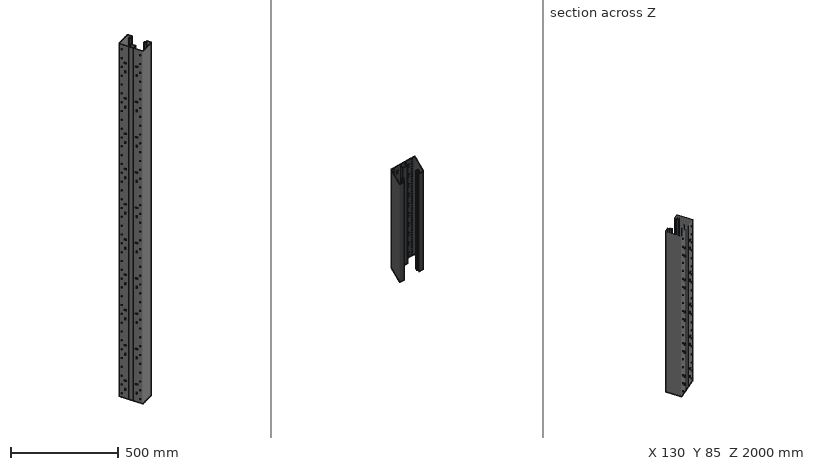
import cadquery as cq

width = 130.0
length = 2000.0
sheet = 2.5
clear_depth = 80.0
depth = clear_depth + 2 * sheet
bend_radius = 2.8
flange_reach = 25.0

lip_step_depth = 12.0
lip_step_width = 5.0
hook_width = 15.0
hook_depth = 10.0

rib_width = 28.0
rib_height = 22.0

hole_count = 40
hole_pitch = 50.0
hole_diameter = 5.0
hole_inset = 15.0
hole_start = 28.0

slot_count = 10
slot_pitch = 200.0
slot_offset = 30.0
slot_width = 5.0
cross_slot_length = 13.0
cross_slot_start = 100.0
long_slot_length = 12.0
long_slot_start = 150.0

half_width = width / 2
front = -depth / 2
back = depth / 2
web_inside = front + sheet
top = length / 2
mouth_half = half_width - flange_reach


def bar(x_min, x_max, y_min, y_max):
    """Full-length rectangular bar."""
    center = ((x_min + x_max) / 2, (y_min + y_max) / 2, -top)
    return cq.Workplane("XY", origin=center).rect(x_max - x_min, y_max - y_min).extrude(length)


def make_channel():
    """Bent sheet with a web, two sides and two flanges around the mouth."""
    outside = bar(-half_width, half_width, front, back).edges("|Z").fillet(bend_radius)
    inside = bar(-half_width + sheet, half_width - sheet, web_inside, back - sheet)
    inside = inside.edges("|Z").fillet(bend_radius - sheet)
    mouth = bar(-mouth_half, mouth_half, 0, back)
    return outside.cut(inside).cut(mouth)


def make_lip():
    """Lip on the +X side: in from the flange, a step to the middle, then an outward hook."""
    step = back - lip_step_depth
    hook_bottom = step - hook_depth
    hook_inner = mouth_half - lip_step_width
    hook_outer = hook_inner + hook_width
    lip = bar(mouth_half, mouth_half + sheet, step, back)
    lip = lip.union(bar(hook_inner, mouth_half + sheet, step, step + sheet))
    lip = lip.union(bar(hook_inner, hook_inner + sheet, hook_bottom, step + sheet))
    lip = lip.union(bar(hook_inner, hook_outer, hook_bottom, hook_bottom + sheet))
    return lip.union(bar(hook_outer - sheet, hook_outer, hook_bottom, step))


def make_rib():
    """Hat-shaped rib that closes a hollow against the web."""
    rib_half = rib_width / 2
    rib_top = web_inside + rib_height
    hollow = bar(-rib_half + sheet, rib_half - sheet, web_inside, rib_top - sheet)
    return bar(-rib_half, rib_half, web_inside, rib_top).cut(hollow)


def web_points(offset, start, pitch, count):
    """Workplane in front of the web with mirrored rows of points running down from the top."""
    points = [(side * offset, top - start - pitch * i) for i in range(count) for side in (-1, 1)]
    return cq.Workplane("XZ", origin=(0, front - sheet, 0)).pushPoints(points)


through_web = -3 * sheet

holes = web_points(half_width - hole_inset, hole_start, hole_pitch, hole_count)
holes = holes.circle(hole_diameter / 2).extrude(through_web)

cross_slots = web_points(slot_offset, cross_slot_start, slot_pitch, slot_count)
cross_slots = cross_slots.slot2D(cross_slot_length, slot_width).extrude(through_web)

long_slots = web_points(slot_offset, long_slot_start, slot_pitch, slot_count)
long_slots = long_slots.slot2D(long_slot_length, slot_width, 90).extrude(through_web)

lip = make_lip()
body = make_channel().union(make_rib()).union(lip).union(lip.mirror("YZ"))
result = body.cut(holes).cut(cross_slots).cut(long_slots)